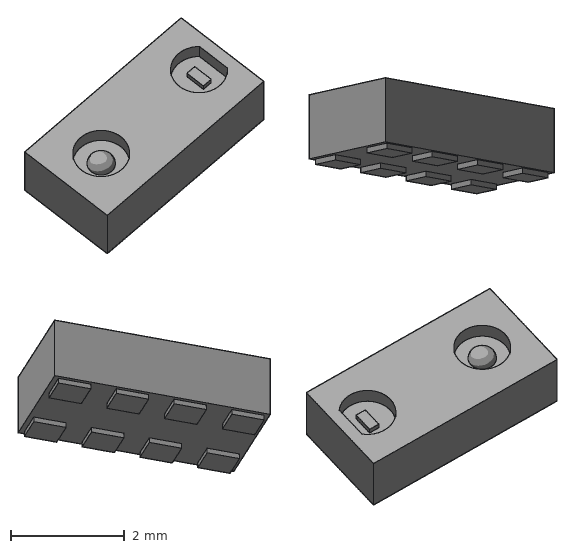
import cadquery as cq

total_height = 1.25
housing_width = 2.0
housing_length = 4.0
pad_height = 0.095
housing_height = total_height - pad_height

window_diameter = 1.0
window_depth = 0.3
window_floor = total_height - window_depth
emitter_y = 1.4
emitter_flat_offset = 0.37
lens_y = -1.1

chip_width = 0.4
chip_length = 0.2
chip_height = 0.1
lens_diameter = 0.5
lens_top_diameter = 0.2
lens_round = (lens_diameter - lens_top_diameter) / 2
lens_height = lens_round

pad_width = 0.52
pad_length = 0.6
pad_side_inset = 0.065
pad_end_inset = 0.09
pad_columns = 2
pad_rows = 4
pad_column_pitch = housing_width - 2 * pad_side_inset - pad_width
pad_row_pitch = (housing_length - 2 * pad_end_inset - pad_length) / (pad_rows - 1)


def block(width, length, height, x, y, bottom):
    """Box centred on (x, y) and standing on the given bottom level."""
    return (
        cq.Workplane("XY", origin=(x, y, bottom))
        .box(width, length, height, centered=(True, True, False))
    )


def round_window(y):
    """Cutter for a cylindrical window, open at the top face."""
    return (
        cq.Workplane("XY", origin=(0, y, window_floor))
        .circle(window_diameter / 2)
        .extrude(window_depth)
    )


def flat_sided_window():
    """Cutter for the emitter window, with a straight wall on its +Y side."""
    clip_length = window_diameter / 2 + emitter_flat_offset
    clip_y = emitter_y + emitter_flat_offset - clip_length / 2
    clip = block(window_diameter, clip_length, window_depth, 0, clip_y, window_floor)
    return round_window(emitter_y).intersect(clip)


def make_lens():
    """Low dome: a quarter-circle profile with a flat top, revolved about Z."""
    top_radius = lens_top_diameter / 2
    diagonal = lens_round * 0.5 ** 0.5
    return (
        cq.Workplane("XZ", origin=(0, lens_y, window_floor))
        .lineTo(lens_diameter / 2, 0)
        .threePointArc((top_radius + diagonal, diagonal), (top_radius, lens_height))
        .lineTo(0, lens_height)
        .close()
        .revolve(360, (0, 0), (0, 1))
    )


def make_housing():
    """Housing with both windows, the emitter chip and the lens in one solid."""
    body = block(housing_width, housing_length, housing_height, 0, 0, pad_height)
    body = body.cut(flat_sided_window()).cut(round_window(lens_y))
    chip = block(chip_width, chip_length, chip_height, 0, emitter_y, window_floor)
    return body.union(chip).union(make_lens()).solids()


def make_pad(column, row):
    """One solder pad, its top face touching the underside of the housing."""
    x = (column - (pad_columns - 1) / 2) * pad_column_pitch
    y = (row - (pad_rows - 1) / 2) * pad_row_pitch
    return block(pad_width, pad_length, pad_height, x, y, 0)


housing = make_housing()
pads = [make_pad(column, row) for column in range(pad_columns) for row in range(pad_rows)]

result = cq.Compound.makeCompound([housing.val(), *[pad.val() for pad in pads]])